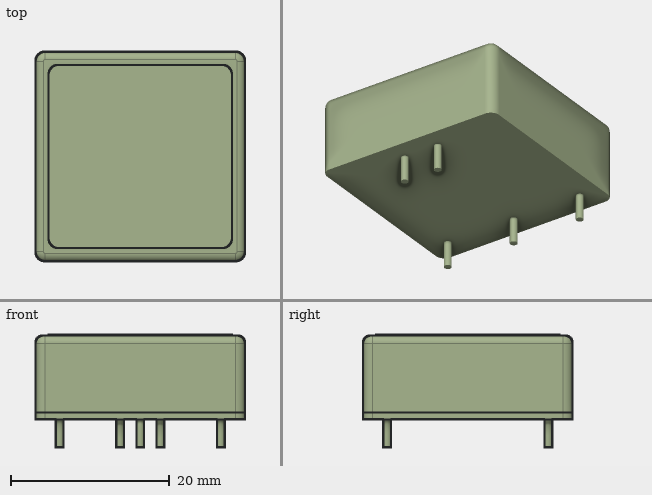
import cadquery as cq


side = 26.4
total_height = 14.2
corner_radius = 1.25
base_thickness = 0.9
top_fillet = 1.0
label_side = 23.07
label_corner_radius = 1.25
label_thickness = 0.1
pin_diameter = 1.0
pin_length = 3.5
pin_pitch = 2.53
pin_grid_half = 4

case_top = total_height - pin_length - label_thickness
case_height = case_top - base_thickness
pin_offset = pin_grid_half * pin_pitch
front_row = [(x, -pin_offset) for x in (-pin_offset, 0, pin_offset)]
back_row = [(x, pin_offset) for x in (-pin_pitch, pin_pitch)]


def rounded_square(width, radius, bottom, height):
    """Square plate with rounded vertical edges, standing on Z = bottom."""
    return (
        cq.Workplane("XY", origin=(0, 0, bottom))
        .rect(width, width)
        .extrude(height)
        .edges("|Z")
        .fillet(radius)
    )


def make_base():
    return rounded_square(side, corner_radius, 0, base_thickness)


def make_case():
    block = rounded_square(side, corner_radius, base_thickness, case_height)
    return block.faces(">Z").edges().fillet(top_fillet)


def make_label():
    return rounded_square(label_side, label_corner_radius, case_top, label_thickness)


def make_pin(x, y):
    """Round pin hanging from the underside of the base."""
    return cq.Workplane("XY", origin=(x, y, 0)).circle(pin_diameter / 2).extrude(-pin_length)


base = make_base()
case = make_case()
label = make_label()
pins = [make_pin(x, y) for x, y in front_row + back_row]

result = cq.Compound.makeCompound(
    [base.val(), case.val(), label.val(), *[pin.val() for pin in pins]]
)